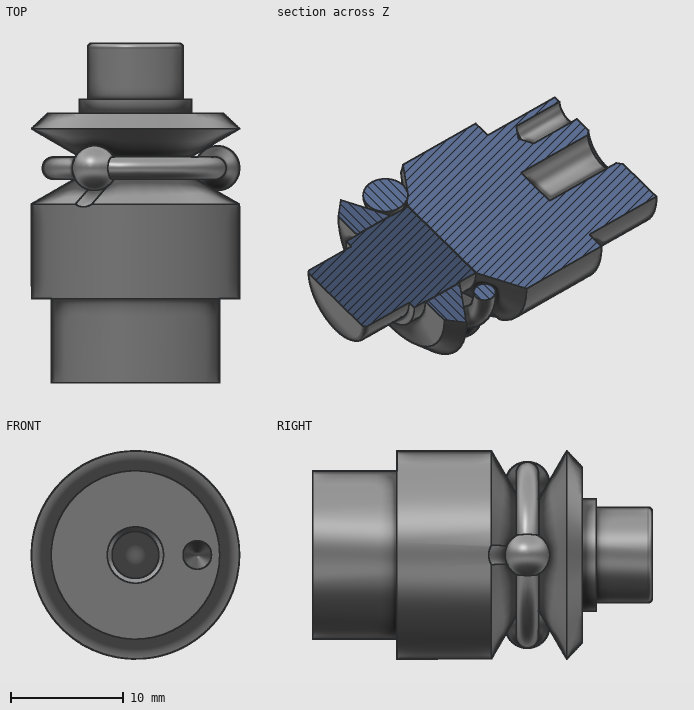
import cadquery as cq
import math

total_length = 30.2

outer_radius = 9.255
spigot_radius = 7.5
spigot_length = 7.5
housing_shoulder_y = 15.9
cone_angle = 30.0
neck_radius = 5.0
cone_height = (outer_radius - neck_radius) * math.tan(math.radians(cone_angle))
housing_end_y = housing_shoulder_y + cone_height

center_hole_radius = 2.08
center_hole_depth = 7.85
center_hole_chamfer = 0.42
side_hole_radius = 1.27
side_hole_offset = 5.5
side_hole_depth = 4.83
drill_half_angle = 60.0

clamp_rim_y = 22.6
clamp_back_y = 23.98
clamp_back_radius = 7.8
clamp_front_y = clamp_rim_y - cone_height

collar_end_y = 25.22
shaft_end_radius = 4.25
shaft_end_fillet = 0.4

ball_count = 3
ball_radius = 2.0
ring_radius = 7.28
ring_wire_radius = 1.0
ring_y = 19.1
groove_reach = 12.08


def turned(points):
    """Revolve a closed (radius, y) outline around the Y axis."""
    return cq.Workplane("XY").polyline(points).close().revolve(360, (0, 0, 0), (0, 1, 0))


def around_axis(shape, index):
    """Turn a shape around the Y axis to the place of one ball."""
    return shape.rotate((0, 0, 0), (0, 1, 0), index * 360 / ball_count)


def ball_groove():
    """Round groove along the cone slope, with a round end where the ball sits."""
    slope = math.radians(cone_angle)
    seat = cq.Vector(ring_radius, ring_y, 0)
    outward = cq.Vector(math.cos(slope), -math.sin(slope), 0)
    channel = cq.Solid.makeCylinder(ball_radius, groove_reach, seat, outward)
    ball_seat = cq.Workplane("XY").sphere(ball_radius).translate(seat)
    return ball_seat.union(cq.Workplane(obj=channel))


def center_hole():
    """Blind flat-bottomed hole with a chamfered mouth."""
    mouth_radius = center_hole_radius + center_hole_chamfer
    return turned([
        (0, 0),
        (mouth_radius, 0),
        (center_hole_radius, center_hole_chamfer),
        (center_hole_radius, center_hole_depth),
        (0, center_hole_depth),
    ])


def side_hole():
    """Blind drilled hole with a conical bottom."""
    tip_height = side_hole_radius / math.tan(math.radians(drill_half_angle))
    hole = turned([
        (0, 0),
        (side_hole_radius, 0),
        (side_hole_radius, side_hole_depth),
        (0, side_hole_depth + tip_height),
    ])
    return hole.translate((side_hole_offset, 0, 0))


def make_housing():
    body = turned([
        (0, 0),
        (spigot_radius, 0),
        (spigot_radius, spigot_length),
        (outer_radius, spigot_length),
        (outer_radius, housing_shoulder_y),
        (neck_radius, housing_end_y),
        (0, housing_end_y),
    ])
    body = body.cut(center_hole()).cut(side_hole())
    for index in range(ball_count):
        body = body.cut(around_axis(ball_groove(), index))
    return body


def make_clamp_cone():
    """Double-tapered collar bored to slide on the shaft."""
    return turned([
        (neck_radius, clamp_front_y),
        (outer_radius, clamp_rim_y),
        (clamp_back_radius, clamp_back_y),
        (neck_radius, clamp_back_y),
    ])


def make_shaft():
    """Stepped shaft with a rounded end, standing on the end face of the housing."""
    body = turned([
        (0, housing_end_y),
        (neck_radius, housing_end_y),
        (neck_radius, collar_end_y),
        (shaft_end_radius, collar_end_y),
        (shaft_end_radius, total_length),
        (0, total_length),
    ])
    return body.faces(">Y").edges().fillet(shaft_end_fillet)


def make_ball_ring():
    """Round-wire ring carrying the evenly spaced balls."""
    wire = cq.Workplane("XY").center(ring_radius, ring_y).circle(ring_wire_radius)
    ring = wire.revolve(360, (-ring_radius, 0, 0), (-ring_radius, 1, 0))
    ball = cq.Workplane("XY").sphere(ball_radius).translate((ring_radius, ring_y, 0))
    for index in range(ball_count):
        ring = ring.union(around_axis(ball, index))
    return ring


housing = make_housing()
clamp_cone = make_clamp_cone()
shaft = make_shaft()
ball_ring = make_ball_ring()

result = cq.Compound.makeCompound([
    *housing.solids().vals(),
    *clamp_cone.solids().vals(),
    *shaft.solids().vals(),
    *ball_ring.solids().vals(),
])